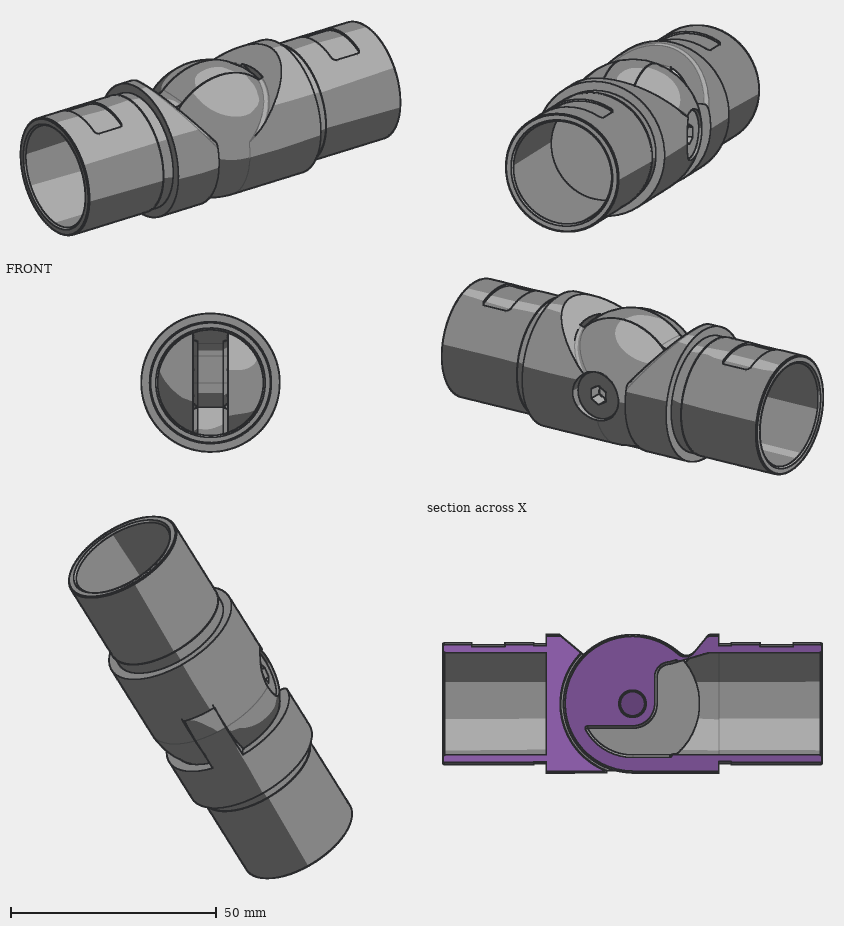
import cadquery as cq
import math


LENGTH = 92.0
END_Y = LENGTH / 2
COLLAR_R = 33.7 / 2
NECK_R = 29.2 / 2
TUBE_R = 29.6 / 2
BORE_R = 25.7 / 2
COLLAR_END_Y = 21.0
NECK_END_Y = 23.9
OUTER_CHAMFER = 0.3
INNER_CHAMFER = 0.5

LABEL_X = 15.3
LABEL_Y = 8.0
LABEL_CENTER_Y = 35.0
LABEL_DEPTH = 0.5
LABEL_CORNER_R = 1.0

BALL_R = COLLAR_R
SOCKET_CLEARANCE = 0.1
SOCKET_R = BALL_R + SOCKET_CLEARANCE
SLOT_R = 17.9
SLOT_WIDTH = 8.6
TONGUE_WIDTH = 8.3

FORK_BEVEL_ANGLE = 39.7
FORK_BEVEL_HEIGHT = 1.6
FORK_FILLET_R = 1.0
FORK_BORE_END_Y = COLLAR_END_Y

TONGUE_FACE_Y = -9.0
TONGUE_BEVEL_ANGLE = -50.3
TONGUE_BEVEL_HEIGHT = -3.5
TONGUE_FILLET_R = 2.5
BEVEL_EDGE_R = 1.0
BOSS_R = 6.0
WEB_FLAT_TOP_Z = 6.5
WEB_FILLET_R = 3.0
ROOF_Y = -BOSS_R - WEB_FILLET_R
ROOF_Z = WEB_FLAT_TOP_Z + WEB_FILLET_R
WEB_END_Y = -20.2
POCKET_CHAMFER = 1.0
CHAMFER_END_Y = -10.6

HEAD_R = 12.0 / 2
COUNTERBORE_R = 12.5 / 2
SHANK_R = 6.0 / 2
SHANK_HOLE_R = 6.5 / 2
HEAD_FACE_X = -14.9
HEAD_SEAT_X = -10.1
SHANK_END_X = 11.0
HEX_CORNER_D = 5.0
HEX_DEPTH = 3.7
DRILL_POINT_ANGLE = 120.0

BIG = 2 * LENGTH


def cylinder_x(radius, x_start, x_end):
    return cq.Workplane("YZ").workplane(offset=x_start).circle(radius).extrude(x_end - x_start)


def cylinder_y(radius, y_start, y_end):
    return cq.Workplane("XZ", origin=(0, y_start, 0)).circle(radius).extrude(y_start - y_end)


def slab(width):
    return cq.Workplane("XY").box(width, BIG, BIG)


def ball(radius):
    """Sphere about the origin with its poles on the hinge axis."""
    return cq.Workplane("XY").sphere(radius).rotate((0, 0, 0), (0, 1, 0), 90)


def above_bevel(angle, height):
    """Half space over a plane tilted about X and offset from the hinge axis."""
    block = cq.Workplane("XY").box(BIG, BIG, BIG).translate((0, 0, BIG / 2 + height))
    return block.rotate((0, 0, 0), (1, 0, 0), angle)


def ball_fillet(angle, height, radius):
    """Ring that blends the ball into a bevel plane with a concave fillet."""
    center_h = height + radius
    center_r = math.sqrt((BALL_R + radius) ** 2 - center_h ** 2)
    ball_scale = BALL_R / (BALL_R + radius)
    ball_point = (center_r * ball_scale, center_h * ball_scale)
    toward_ball = math.atan2(center_h, center_r) - math.pi
    mid_angle = (toward_ball - math.pi / 2) / 2
    mid_point = (center_r + radius * math.cos(mid_angle), center_h + radius * math.sin(mid_angle))
    inner_r = BALL_R / 2
    ring = (
        cq.Workplane("XZ")
        .moveTo(inner_r, height)
        .lineTo(center_r, height)
        .threePointArc(mid_point, ball_point)
        .lineTo(inner_r, ball_point[1])
        .close()
        .revolve(360, (0, 0, 0), (0, 1, 0))
    )
    return ring.rotate((0, 0, 0), (1, 0, 0), angle)


def tube_end():
    """Outside of the +Y tube beyond the collar: neck and chamfered tube with its label panel."""
    neck = cylinder_y(NECK_R, COLLAR_END_Y, NECK_END_Y)
    tube = cylinder_y(TUBE_R, NECK_END_Y, END_Y).faces(">Y").chamfer(OUTER_CHAMFER)
    return neck.union(tube).cut(label_recess())


def label_recess():
    """Shallow rounded rectangle whose floor follows the tube."""
    panel = (
        cq.Workplane("XY")
        .center(0, LABEL_CENTER_Y)
        .rect(LABEL_X, LABEL_Y)
        .extrude(COLLAR_R)
        .edges("|Z")
        .fillet(LABEL_CORNER_R)
    )
    return panel.cut(cylinder_y(TUBE_R - LABEL_DEPTH, NECK_END_Y, END_Y))


def bore(start_y):
    """Bore of the +Y tube with a chamfered mouth."""
    mouth = (
        cq.Workplane("XZ", origin=(0, END_Y, 0))
        .circle(BORE_R + INNER_CHAMFER)
        .workplane(offset=INNER_CHAMFER)
        .circle(BORE_R)
        .loft()
    )
    return cylinder_y(BORE_R, start_y, END_Y).union(mouth)


def make_fork():
    """+Y half: two ball cheeks either side of the tongue slot."""
    collar = cylinder_y(COLLAR_R, 0, COLLAR_END_Y)
    collar = collar.cut(above_bevel(FORK_BEVEL_ANGLE, FORK_BEVEL_HEIGHT))
    fillet = ball_fillet(FORK_BEVEL_ANGLE, FORK_BEVEL_HEIGHT, FORK_FILLET_R)
    fillet = fillet.intersect(cylinder_y(COLLAR_R, 0, COLLAR_END_Y))
    body = collar.union(ball(BALL_R)).union(fillet)
    body = body.cut(slab(SLOT_WIDTH).intersect(ball(SLOT_R)))
    body = body.union(tube_end()).cut(bore(FORK_BORE_END_Y))
    body = body.cut(cylinder_x(COUNTERBORE_R, -BALL_R, HEAD_SEAT_X))
    return body.cut(cylinder_x(SHANK_HOLE_R, HEAD_SEAT_X, SHANK_END_X))


def web_outline(start_y, start_z):
    """Open outline of the web, from its roof round the boss to the far wall of the pocket."""
    corner = WEB_FILLET_R * math.sqrt(0.5)
    boss_mid = BOSS_R * math.sqrt(0.5)
    return (
        cq.Workplane("YZ", origin=(-TONGUE_WIDTH / 2, 0, 0))
        .moveTo(start_y, start_z)
        .lineTo(ROOF_Y, ROOF_Z)
        .threePointArc((ROOF_Y + corner, WEB_FLAT_TOP_Z + corner), (-BOSS_R, WEB_FLAT_TOP_Z))
        .lineTo(-BOSS_R, 0)
        .threePointArc((-boss_mid, -boss_mid), (0, -BOSS_R))
    )


def make_web():
    """Solid left inside the ball: the boss round the screw and the bridge to the bevel."""
    return (
        web_outline(WEB_END_Y, BORE_R)
        .lineTo(BALL_R, -BOSS_R)
        .lineTo(BALL_R, BALL_R)
        .lineTo(WEB_END_Y, BALL_R)
        .close()
        .extrude(TONGUE_WIDTH)
    )


def pocket_chamfer():
    """Tapered cutter that breaks the pocket edge on the +X side of the disc."""
    inset_x = TONGUE_WIDTH / 2 - POCKET_CHAMFER
    floor_r = math.sqrt(BORE_R ** 2 - inset_x ** 2)
    wall_y = math.sqrt(floor_r ** 2 - BOSS_R ** 2)
    floor_mid = floor_r * math.sqrt(0.5)
    roof_slope = (BORE_R - ROOF_Z) / (WEB_END_Y - ROOF_Y)
    start_z = ROOF_Z + roof_slope * (CHAMFER_END_Y - ROOF_Y)
    outline = (
        web_outline(CHAMFER_END_Y, start_z)
        .lineTo(wall_y, -BOSS_R)
        .threePointArc((floor_mid, -floor_mid), (0, -floor_r))
        .lineTo(TONGUE_FACE_Y, -floor_r)
        .lineTo(TONGUE_FACE_Y, 0)
        .lineTo(CHAMFER_END_Y, 0)
        .close()
    )
    cutter = outline.extrude(POCKET_CHAMFER, taper=-45)
    return cutter.translate((TONGUE_WIDTH - POCKET_CHAMFER, 0, 0))


def tongue_disc():
    """Slice of the ball with a straight lower half and a fillet up to the bevel."""
    fillet = ball_fillet(TONGUE_BEVEL_ANGLE, TONGUE_BEVEL_HEIGHT, TONGUE_FILLET_R)
    upper_half = cq.Workplane("XY").box(BIG, BIG, BIG).translate((0, -BIG / 2, BIG / 2))
    stem = cylinder_y(COLLAR_R, TONGUE_FACE_Y, 0)
    stem = stem.cut(above_bevel(TONGUE_BEVEL_ANGLE, TONGUE_BEVEL_HEIGHT))
    solid = ball(BALL_R).union(stem).union(fillet.intersect(upper_half))
    return solid.intersect(slab(TONGUE_WIDTH))


def tongue_collar():
    """Collar with a rounded bevel edge and a ball socket either side of the disc."""
    collar = cylinder_y(COLLAR_R, -COLLAR_END_Y, COLLAR_END_Y)
    collar = collar.cut(above_bevel(TONGUE_BEVEL_ANGLE, TONGUE_BEVEL_HEIGHT))
    collar = collar.edges("%ELLIPSE").fillet(BEVEL_EDGE_R)
    behind_face = cq.Workplane("XY").box(BIG, BIG, BIG).translate((0, TONGUE_FACE_Y - BIG / 2, 0))
    return collar.intersect(behind_face).cut(ball(SOCKET_R).cut(slab(TONGUE_WIDTH)))


def make_tongue():
    """-Y half: hollow disc on a socketed collar."""
    body = tongue_collar().union(tongue_disc())
    cavity = ball(BORE_R).union(cylinder_y(BORE_R, -COLLAR_END_Y, 0)).cut(make_web())
    body = body.cut(cavity)
    chamfer = pocket_chamfer()
    body = body.cut(chamfer).cut(chamfer.mirror("YZ"))
    tube = tube_end().cut(bore(COLLAR_END_Y)).rotate((0, 0, 0), (0, 0, 1), 180)
    body = body.union(tube)
    return body.cut(cylinder_x(SHANK_HOLE_R, -TONGUE_WIDTH, TONGUE_WIDTH))


def make_screw():
    """Flat-headed hinge screw with a hexagon socket."""
    head = cylinder_x(HEAD_R, HEAD_FACE_X, HEAD_SEAT_X)
    shank = cylinder_x(SHANK_R, HEAD_SEAT_X, SHANK_END_X)
    socket = (
        cq.Workplane("YZ", origin=(HEAD_FACE_X, 0, 0))
        .transformed(rotate=(0, 0, 90))
        .polygon(6, HEX_CORNER_D)
        .extrude(HEX_DEPTH)
    )
    point_length = HEX_CORNER_D / 2 / math.tan(math.radians(DRILL_POINT_ANGLE / 2))
    point = cq.Solid.makeCone(
        HEX_CORNER_D / 2, 0, point_length, cq.Vector(HEAD_FACE_X + HEX_DEPTH, 0, 0), cq.Vector(1, 0, 0)
    )
    return head.union(shank).cut(socket).cut(cq.Workplane(point))


fork = make_fork().solids()
tongue = make_tongue().solids()
screw = make_screw().solids()

result = cq.Compound.makeCompound([fork.val(), tongue.val(), screw.val()])